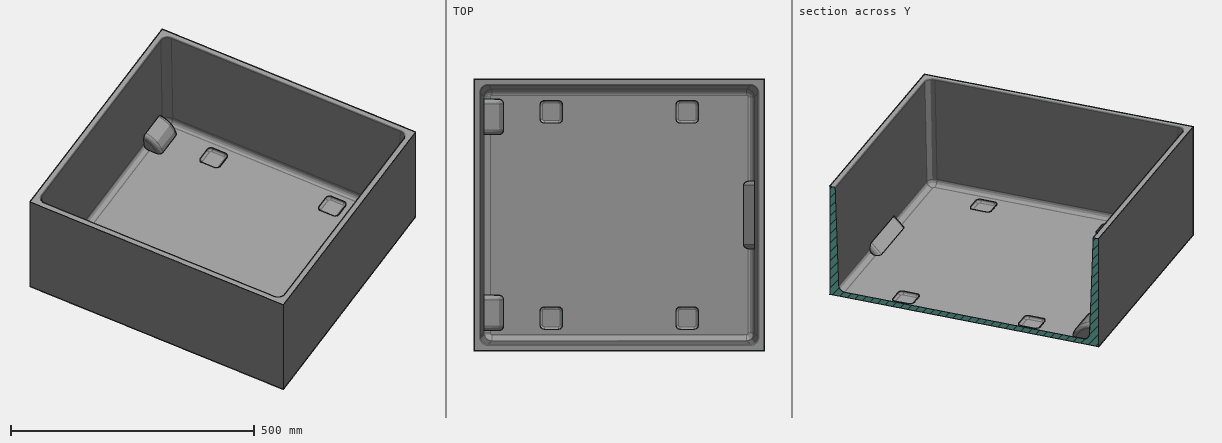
import cadquery as cq
import math

LENGTH = 596.9
WIDTH = 558.8
HEIGHT = 254.0

RIM = 12.7
RIM_FILLET = 1.6
FLOOR_Z = 12.7
DRAFT_ANGLE = 2.0
CAVITY_CORNER = 15.9
FLOOR_FILLET = 12.7
CAVITY_DEPTH = HEIGHT - FLOOR_Z
WALL_SETBACK = CAVITY_DEPTH * math.tan(math.radians(DRAFT_ANGLE))
FLOOR_LENGTH = LENGTH - 2 * (RIM + WALL_SETBACK)

RECESS_SIZE = 46.0
RECESS_DEPTH = 6.35
RECESS_CORNER = 8.5
RECESS_FILLET = 5.0
RECESS_PITCH_X = 279.4
RECESS_PITCH_Y = 424.0

HUMP_RADIUS = 49.5
HUMP_WIDTH = 73.0
HUMP_PITCH = 403.0
HUMP_END_FILLET = 9.5
HUMP_AXIS_X = -LENGTH / 2 + RIM

RAMP_WIDTH = 139.7
RAMP_REACH = 22.0
RAMP_END_FILLET = 9.5
RAMP_FOOT_X = FLOOR_LENGTH / 2 - RAMP_REACH


def make_cavity():
    cavity = (
        cq.Workplane("XY", origin=(0, 0, HEIGHT))
        .rect(LENGTH - 2 * RIM, WIDTH - 2 * RIM)
        .extrude(-CAVITY_DEPTH, taper=DRAFT_ANGLE)
    )
    cavity = cavity.edges("not #Z").fillet(CAVITY_CORNER)
    return cavity.faces("<Z").edges().fillet(FLOOR_FILLET)


def make_tub():
    tub = cq.Workplane("XY").box(LENGTH, WIDTH, HEIGHT, centered=(True, True, False)).cut(make_cavity())
    return tub.faces(">Z").edges("not (<X or >X or <Y or >Y)").fillet(RIM_FILLET)


def make_recesses():
    recess = (
        cq.Workplane("XY")
        .rect(RECESS_SIZE, RECESS_SIZE)
        .extrude(-RECESS_DEPTH)
        .edges("|Z")
        .fillet(RECESS_CORNER)
        .faces("<Z")
        .edges()
        .fillet(RECESS_FILLET)
    )
    places = cq.Workplane("XY", origin=(0, 0, FLOOR_Z)).rarray(RECESS_PITCH_X, RECESS_PITCH_Y, 2, 2)
    return places.eachpoint(lambda place: recess.val().moved(place), combine=False)


def make_hump(center_y):
    diagonal = HUMP_RADIUS / math.sqrt(2)
    hump = (
        cq.Workplane("XZ", origin=(HUMP_AXIS_X, center_y + HUMP_WIDTH / 2, 0))
        .moveTo(0, HUMP_RADIUS)
        .threePointArc((diagonal, diagonal), (HUMP_RADIUS, 0))
        .lineTo(0, 0)
        .close()
        .extrude(HUMP_WIDTH)
    )
    return hump.edges("%CIRCLE").fillet(HUMP_END_FILLET)


def make_ramp():
    run = LENGTH / 2 - RAMP_FOOT_X
    ramp = (
        cq.Workplane("XZ", origin=(RAMP_FOOT_X, RAMP_WIDTH / 2, FLOOR_Z))
        .moveTo(-FLOOR_Z, -FLOOR_Z)
        .lineTo(run, run)
        .lineTo(run, -FLOOR_Z)
        .close()
        .extrude(RAMP_WIDTH)
    )
    slope_direction = cq.Vector(1, 0, 1)
    return ramp.edges(cq.selectors.ParallelDirSelector(slope_direction)).fillet(RAMP_END_FILLET)


result = make_tub()
for side in (-1, 1):
    result = result.union(make_hump(side * HUMP_PITCH / 2))
result = result.union(make_ramp())
result = result.cut(make_recesses())